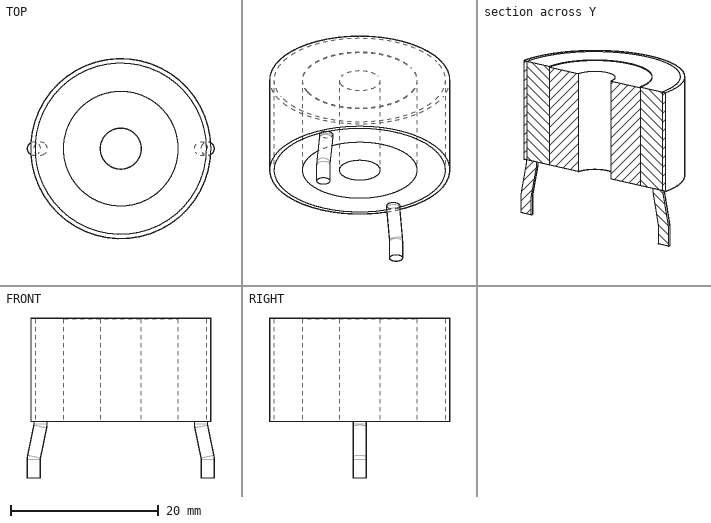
import cadquery as cq
import math

sleeve_diameter = 24.4
sleeve_wall = 0.6
body_height = 14.0
core_diameter = 15.55
core_recess = 0.1
bore_diameter = 5.53

overall_height = 21.65
pin_span = 25.35
pin_diameter = 1.8
pin_neck_length = 0.3
pin_foot_length = 2.54
bend_angle = math.radians(11.6)
bend_radius = pin_diameter

bushing_diameter = sleeve_diameter - 2 * sleeve_wall
pin_length = overall_height - body_height
pin_foot_x = pin_span / 2 - pin_diameter / 2


def make_tube(outer_diameter, inner_diameter, height):
    """Upright tube standing on the XY plane."""
    return (
        cq.Workplane("XY")
        .circle(outer_diameter / 2)
        .circle(inner_diameter / 2)
        .extrude(height)
    )


def make_pin():
    """Round pin on the +X side, cranked outward between a short neck and a straight foot."""
    bend_drop = bend_radius * math.sin(bend_angle)
    bend_shift = bend_radius * (1 - math.cos(bend_angle))
    half_bend_drop = bend_radius * math.sin(bend_angle / 2)
    half_bend_shift = bend_radius * (1 - math.cos(bend_angle / 2))

    neck_end_z = -pin_neck_length
    foot_start_z = pin_foot_length - pin_length
    slope_top_z = neck_end_z - bend_drop
    slope_bottom_z = foot_start_z + bend_drop
    slope_shift = (slope_top_z - slope_bottom_z) * math.tan(bend_angle)
    neck_x = pin_foot_x - slope_shift - 2 * bend_shift

    axis = (
        cq.Workplane("XZ")
        .moveTo(neck_x, 0)
        .lineTo(neck_x, neck_end_z)
        .threePointArc(
            (neck_x + half_bend_shift, neck_end_z - half_bend_drop),
            (neck_x + bend_shift, slope_top_z),
        )
        .lineTo(pin_foot_x - bend_shift, slope_bottom_z)
        .threePointArc(
            (pin_foot_x - half_bend_shift, foot_start_z + half_bend_drop),
            (pin_foot_x, foot_start_z),
        )
        .lineTo(pin_foot_x, -pin_length)
    )
    return cq.Workplane("XY").center(neck_x, 0).circle(pin_diameter / 2).sweep(axis)


sleeve = make_tube(sleeve_diameter, bushing_diameter, body_height)
bushing = make_tube(bushing_diameter, core_diameter, body_height)
core = make_tube(core_diameter, bore_diameter, body_height - core_recess)

pins = []
for turn in (0, 180):
    pins.append(make_pin().rotate((0, 0, 0), (0, 0, 1), turn).val())

result = cq.Compound.makeCompound([sleeve.val(), bushing.val(), core.val(), *pins])